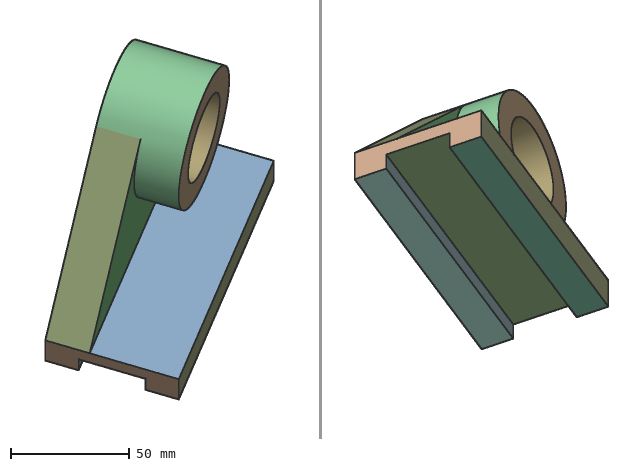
import cadquery as cq
import math

base_width = 60.0
length = 120.0
base_height = 15.0
slot_width = base_width / 2
slot_depth = 8.0

web_thickness = base_width / 3
boss_length = 2 * web_thickness
boss_diameter = 64.0
bore_diameter = 40.0
total_height = 97.0

boss_radius = boss_diameter / 2
boss_y = length - boss_radius
boss_z = total_height - boss_radius

corner_to_axis = math.hypot(boss_y, boss_z - base_height)
slope_angle = math.atan2(boss_z - base_height, boss_y) + math.asin(boss_radius / corner_to_axis)
tangent_length = math.sqrt(corner_to_axis**2 - boss_radius**2)
tangent_y = tangent_length * math.cos(slope_angle)
tangent_z = base_height + tangent_length * math.sin(slope_angle)


def make_base():
    return cq.Workplane("XY").box(base_width, length, base_height, centered=False)


def make_slot():
    return (
        cq.Workplane("XY")
        .box(slot_width, length, slot_depth, centered=False)
        .translate(((base_width - slot_width) / 2, 0, 0))
    )


def make_web():
    return (
        cq.Workplane("YZ")
        .lineTo(length, 0)
        .lineTo(length, boss_z)
        .threePointArc((boss_y, total_height), (tangent_y, tangent_z))
        .lineTo(0, base_height)
        .close()
        .extrude(web_thickness)
    )


def boss_cylinder(diameter):
    return cq.Workplane("YZ").center(boss_y, boss_z).circle(diameter / 2).extrude(boss_length)


result = (
    make_base()
    .union(make_web())
    .union(boss_cylinder(boss_diameter))
    .cut(boss_cylinder(bore_diameter))
    .cut(make_slot())
)